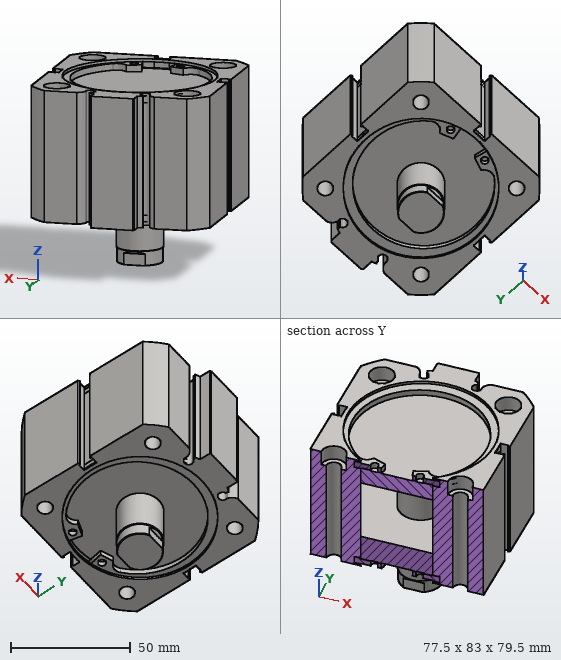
import cadquery as cq
import math


BODY_WIDTH = 77.5
OVERALL_DEPTH = 83.0
BODY_HEIGHT = 56.4
HALF_WIDTH = BODY_WIDTH / 2
CORNER_DIAMETER = 99.3
BORE_DIAMETER = 65.1
BORE_RADIUS = BORE_DIAMETER / 2

MOUNT_OFFSET = 28.3
MOUNT_DIAMETER = 6.6
COUNTERBORE_DIAMETER = 11.0
COUNTERBORE_DEPTH = 7.0

SLOT_WIDTH = 6.55
SLOT_FLOOR = 34.4
SLOT_MOUTH = 5.3
LIP_HEIGHT = 1.0
LIP_CHAMFER = 0.5

RAIL_HALF_WIDTH = 9.5
RAIL_TOP = OVERALL_DEPTH - HALF_WIDTH
RAIL_CHAMFER = 0.5
LUG_TIP = (11.7, 37.85)
LUG_SIDE_X = 11.3
LUG_SIDE_TOP = 37.35
LUG_SIDE_BOTTOM = 36.5
LUG_ROOT_X = 10.6
GROOVE_X = 11.8
GROOVE_Y = 34.5
GROOVE_RADIUS = 2.1
SHOULDER_WIDTH = 3.0
SHOULDER_BASE_Y = 35.35
SHOULDER_RADIUS = 5.0

RING_INSET = 1.25
RING_THICKNESS = 2.8
RING_GROOVE_WALL = 0.25
RING_RADIUS = SLOT_FLOOR - RING_GROOVE_WALL
RING_INNER_RADIUS = 29.7
RING_INNER_Y = -1.6
EAR_HOLE_X = 10.1
EAR_HOLE_Y = -27.6
EAR_HOLE_DIAMETER = 3.3
EAR_NECK_X = 18.7
EAR_HOLLOW = (15.9, -25.6)
EAR_SHOULDER = (12.3, -23.3)
EAR_TIP = (6.3, -25.5)
EAR_FOOT_X = 7.9

HEAD_COVER_THICKNESS = 8.0
ROD_COVER_THICKNESS = 11.95
COVER_INSET = RING_INSET + RING_THICKNESS

ROD_DIAMETER = 20.0
ROD_LENGTH_OUT = 23.1
ROD_EDGE_CHAMFER = 0.25
NECK_DIAMETER = 19.4
NECK_LENGTH = 6.3
NECK_CHAMFER = 0.25
FLAT_LENGTH = 5.0
ACROSS_FLATS = 17.0


def slot_cutter():
    """Lipped slot in the -Y face, running the full height."""
    half_slot = SLOT_WIDTH / 2
    half_mouth = SLOT_MOUTH / 2
    right_side = [
        (half_slot, -SLOT_FLOOR),
        (half_slot, LIP_HEIGHT - HALF_WIDTH),
        (half_mouth, LIP_HEIGHT - HALF_WIDTH),
        (half_mouth, LIP_CHAMFER - HALF_WIDTH),
        (half_mouth + LIP_CHAMFER, -HALF_WIDTH),
    ]
    left_side = [(-x, y) for x, y in reversed(right_side)]
    return cq.Workplane("XY").polyline(right_side + left_side).close().extrude(BODY_HEIGHT)


def rail():
    """Rectangular rail that stands above the +Y face, rooted in the housing."""
    height = RAIL_TOP - GROOVE_Y
    return (
        cq.Workplane("XY")
        .center(0, GROOVE_Y + height / 2)
        .rect(2 * RAIL_HALF_WIDTH, height)
        .extrude(BODY_HEIGHT)
        .edges("|Z and >Y")
        .chamfer(RAIL_CHAMFER)
    )


def rail_groove_cutter():
    """Open groove on the +X side of the rail: lug, round bottom and rounded outer shoulder."""
    wall_x = GROOVE_X + GROOVE_RADIUS
    root_y = GROOVE_Y + math.sqrt(GROOVE_RADIUS**2 - (LUG_ROOT_X - GROOVE_X) ** 2)
    groove_bottom = (GROOVE_X, GROOVE_Y - GROOVE_RADIUS)
    return (
        cq.Workplane("XY")
        .moveTo(RAIL_HALF_WIDTH, HALF_WIDTH)
        .lineTo(*LUG_TIP)
        .lineTo(LUG_SIDE_X, LUG_SIDE_TOP)
        .lineTo(LUG_SIDE_X, LUG_SIDE_BOTTOM)
        .lineTo(LUG_ROOT_X, root_y)
        .threePointArc(groove_bottom, (wall_x, GROOVE_Y))
        .lineTo(wall_x, SHOULDER_BASE_Y)
        .radiusArc((wall_x + SHOULDER_WIDTH, HALF_WIDTH), SHOULDER_RADIUS)
        .close()
        .extrude(BODY_HEIGHT)
    )


def ring_groove_cutter(bottom):
    return cq.Workplane("XY").workplane(offset=bottom).circle(RING_RADIUS).extrude(RING_THICKNESS)


def make_housing(ring_bottoms):
    corner_round = cq.Workplane("XY").circle(CORNER_DIAMETER / 2).extrude(BODY_HEIGHT)
    body = cq.Workplane("XY").rect(BODY_WIDTH, BODY_WIDTH).extrude(BODY_HEIGHT)
    body = body.intersect(corner_round).union(rail())

    groove = rail_groove_cutter()
    body = body.cut(groove).cut(groove.mirror("YZ"))

    for angle in (-90, 0, 90):
        body = body.cut(slot_cutter().rotate((0, 0, 0), (0, 0, 1), angle))

    body = (
        body.faces(">Z")
        .workplane(origin=(0, 0, BODY_HEIGHT))
        .rect(2 * MOUNT_OFFSET, 2 * MOUNT_OFFSET, forConstruction=True)
        .vertices()
        .cboreHole(MOUNT_DIAMETER, COUNTERBORE_DIAMETER, COUNTERBORE_DEPTH)
    )

    body = body.cut(cq.Workplane("XY").circle(BORE_RADIUS).extrude(BODY_HEIGHT))
    for bottom in ring_bottoms:
        body = body.cut(ring_groove_cutter(bottom))
    return body


def make_retaining_ring(bottom):
    """Internal circlip: eccentric ring, open toward -Y, with a drilled ear at each end."""
    neck_y = RING_INNER_Y - math.sqrt(RING_INNER_RADIUS**2 - EAR_NECK_X**2)
    foot_y = -math.sqrt(RING_RADIUS**2 - EAR_FOOT_X**2)
    inner_top = (0, RING_INNER_Y + RING_INNER_RADIUS)
    return (
        cq.Workplane("XY")
        .workplane(offset=bottom)
        .moveTo(EAR_FOOT_X, foot_y)
        .threePointArc((0, RING_RADIUS), (-EAR_FOOT_X, foot_y))
        .lineTo(-EAR_TIP[0], EAR_TIP[1])
        .lineTo(-EAR_SHOULDER[0], EAR_SHOULDER[1])
        .threePointArc((-EAR_HOLLOW[0], EAR_HOLLOW[1]), (-EAR_NECK_X, neck_y))
        .threePointArc(inner_top, (EAR_NECK_X, neck_y))
        .threePointArc(EAR_HOLLOW, EAR_SHOULDER)
        .lineTo(*EAR_TIP)
        .close()
        .pushPoints([(-EAR_HOLE_X, EAR_HOLE_Y), (EAR_HOLE_X, EAR_HOLE_Y)])
        .circle(EAR_HOLE_DIAMETER / 2)
        .extrude(RING_THICKNESS)
    )


def make_head_cover():
    """Plain disc that closes the top of the bore under the upper ring."""
    top = BODY_HEIGHT - COVER_INSET
    return cq.Workplane("XY").workplane(offset=top).circle(BORE_RADIUS).extrude(-HEAD_COVER_THICKNESS)


def make_rod_cover():
    """Disc that guides the rod, resting on the lower ring."""
    return (
        cq.Workplane("XY")
        .workplane(offset=COVER_INSET)
        .circle(BORE_RADIUS)
        .circle(ROD_DIAMETER / 2)
        .extrude(ROD_COVER_THICKNESS)
    )


def wrench_flat_cutter():
    """Flat on the -Y side of the neck, its upper end sloping out at 45 degrees."""
    rod_end = -ROD_LENGTH_OUT
    flat_y = ACROSS_FLATS / 2
    run_out = ROD_DIAMETER / 2 - flat_y
    profile = [
        (-flat_y, rod_end),
        (-flat_y, rod_end + FLAT_LENGTH),
        (-flat_y - run_out, rod_end + FLAT_LENGTH + run_out),
        (-flat_y - run_out, rod_end),
    ]
    return cq.Workplane("YZ").polyline(profile).close().extrude(ROD_DIAMETER / 2, both=True)


def make_piston_rod():
    """Rod from the head cover down through the rod cover, ending in a neck with two flats."""
    rod_end = -ROD_LENGTH_OUT
    shoulder = rod_end + NECK_LENGTH
    rod_top = BODY_HEIGHT - COVER_INSET - HEAD_COVER_THICKNESS
    rod = (
        cq.Workplane("XY")
        .workplane(offset=shoulder)
        .circle(ROD_DIAMETER / 2)
        .extrude(rod_top - shoulder)
        .faces("<Z")
        .chamfer(ROD_EDGE_CHAMFER)
    )
    neck = (
        cq.Workplane("XY")
        .workplane(offset=rod_end)
        .circle(NECK_DIAMETER / 2)
        .extrude(NECK_LENGTH)
        .faces("<Z")
        .chamfer(NECK_CHAMFER)
    )
    flat = wrench_flat_cutter()
    return rod.union(neck).cut(flat).cut(flat.mirror("XZ"))


RING_BOTTOMS = (RING_INSET, BODY_HEIGHT - COVER_INSET)

housing = make_housing(RING_BOTTOMS)
retaining_rings = [make_retaining_ring(bottom).val() for bottom in RING_BOTTOMS]
head_cover = make_head_cover()
rod_cover = make_rod_cover()
piston_rod = make_piston_rod()

result = cq.Compound.makeCompound(
    [housing.val(), *retaining_rings, head_cover.val(), rod_cover.val(), piston_rod.val()]
)